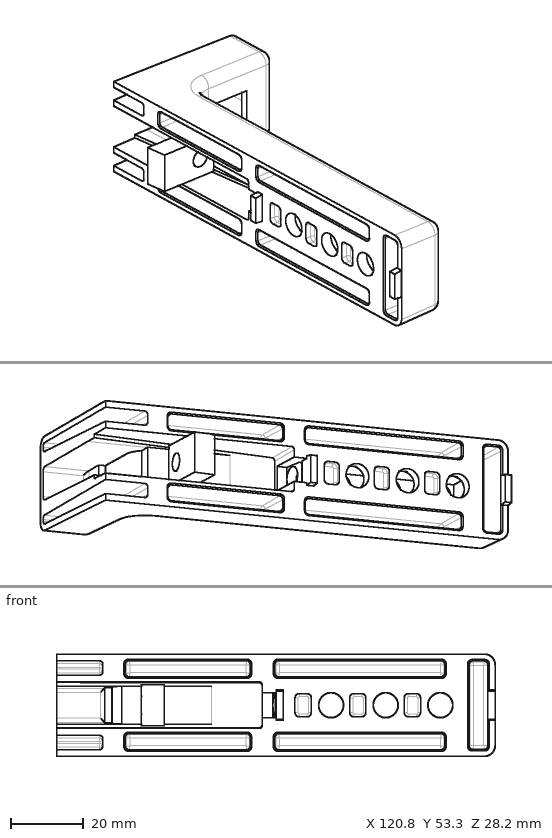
import cadquery as cq
import math


length = 120.84
half_width = 14.1
arm_depth = 15.25
jaw_depth = 45.4
overall_depth = 53.28
jaw_thickness = 15.85
draft = 1.0
floor_thickness = 2.0
outer_radius = 3.0
corner_radius = 6.0

draft_slope = math.tan(math.radians(draft))
past = 5.0

cavity_depth = 13.2
cavity_half_width = 5.25
cavity_radius = 1.2
window_top = 35.3
window_end = 17.9
channel_floor = 12.15

guide_angle = 6.0
guide_start = 7.68
guide_end = 56.6
guide_half_width = 6.4
guide_corner_radius = 0.8
guide_slope = math.tan(math.radians(guide_angle))

seat_end = 60.45
seat_half_width = 3.45
seat_offset = 1.75
screw_offset = 5.0
front_wall = 3.4
inner_cavity_end = 110.0
cavity_floor_x = 65.0

nut_x = 59.9
nut_length = 3.0
nut_front_reach = 5.45
nut_hole_radius = 3.0
nut_corner_radius = 1.4

groove_depth = 12.7
groove_half_width = 2.0
groove_z = 10.25
groove_radius = 1.0

pocket_depth = arm_depth - floor_thickness
pocket_corner_radius = 1.0
pocket_floor_radius = 1.0
pocket_mouth_chamfer = 0.4
chamfer_angle = 45
rail_pocket_z = 10.05
rail_pocket_width = 5.3
rail_pocket_spans = [(18.5, 53.7), (59.7, 107.3)]
end_pocket_span = (113.2, 119.2)
end_pocket_width = 25.2

row_pitch = 15.05
hole_count = 3
first_hole_x = 75.6
hole_radius = 3.4
first_cell_x = 67.9
cell_length = 4.5
cell_width = 6.4
cell_depth = 2.4
cell_corner_radius = 1.2
cell_floor_radius = 0.8

tab_thickness = 2.0
tab_half_width = 4.2
tab_tip_half_width = 3.9
tab_height = 2.5
end_tab_x = end_pocket_span[1] - pocket_mouth_chamfer

slider_x = 23.35
slider_length = 6.3
slider_half_width = 5.7
slider_tip = jaw_depth - overall_depth
slider_hole_radius = 2.5


def guide_y(x):
    """Depth of the inclined guide shoulder at a given X."""
    return guide_start + guide_slope * x


def plate(points, half_thickness):
    """XY outline extruded symmetrically about Z = 0."""
    return cq.Workplane("XY").polyline(points).close().extrude(half_thickness, both=True)


def z_drafted_block(x_start, x_end, z_center, front_half_width, depth, draft_start=0.0):
    """Block along X from the open front, with Z sides that lean inward beyond draft_start."""
    back_half_width = front_half_width - draft_slope * (depth - draft_start)
    half_profile = [(0, front_half_width), (depth, back_half_width)]
    if draft_start > 0:
        half_profile.insert(1, (draft_start, front_half_width))
    mirrored = [(y, -z) for y, z in reversed(half_profile)]
    section = cq.Workplane("YZ", origin=(x_start, 0, z_center)).polyline(half_profile + mirrored)
    return section.close().extrude(x_end - x_start)


def screw_rod(x_start, radius, reach):
    """Cylinder on the inclined screw axis, starting at a given X."""
    start = cq.Vector(x_start, guide_y(x_start) - screw_offset, 0)
    direction = cq.Vector(1, guide_slope, 0)
    return cq.Workplane(obj=cq.Solid.makeCylinder(radius, reach, start, direction))


def housing_blank():
    """L-shaped body with drafted outer walls and rounded outer edges."""
    jaw_back_x = jaw_thickness - draft_slope * jaw_depth
    jaw_root_x = jaw_thickness - draft_slope * arm_depth
    profile = plate(
        [
            (0, 0),
            (length, 0),
            (length - draft_slope * arm_depth, arm_depth),
            (jaw_root_x, arm_depth),
            (jaw_back_x, jaw_depth),
            (0, jaw_depth),
        ],
        half_width,
    )
    inner_corner = cq.selectors.NearestToPointSelector((jaw_root_x, arm_depth, 0))
    profile = profile.edges(inner_corner).fillet(corner_radius)
    blank = profile.intersect(z_drafted_block(0, length, 0, half_width, jaw_depth))
    return blank.edges("not (<X or <Y)").fillet(outer_radius)


def jaw_cavity():
    """Middle recess of the jaw, open at the jaw face and the front, with a rounded back."""
    depth = jaw_depth - floor_thickness
    block = z_drafted_block(-past, cavity_depth, 0, cavity_half_width, depth, channel_floor)
    return block.faces(">Y").edges().fillet(cavity_radius)


def jaw_groove(z_center):
    """Narrow groove beside the cavity, rounded along its inner edges."""
    depth = jaw_depth - floor_thickness
    block = z_drafted_block(-past, groove_depth, z_center, groove_half_width, depth)
    return block.faces(">X or >Y").edges("not <Y").fillet(groove_radius)


def corner_channel():
    """Narrow channel that breaks through the corner between jaw and arm."""
    floor_end = (channel_floor - guide_start) / guide_slope
    outline = plate(
        [
            (0, 0),
            (0, channel_floor),
            (cavity_depth - cavity_radius, channel_floor),
            (cavity_depth - cavity_radius, window_top),
            (window_end, window_top),
            (window_end, channel_floor),
            (floor_end, channel_floor),
            (floor_end, 0),
        ],
        half_width,
    )
    block = z_drafted_block(0, guide_end, 0, cavity_half_width, jaw_depth, channel_floor)
    return outline.intersect(block)


def slider_guide():
    """Wide inclined slot that the slider moves in."""
    block = z_drafted_block(-past, guide_end, 0, guide_half_width, jaw_depth)
    block = block.faces(">X").edges("not |Z").fillet(guide_corner_radius)
    below_shoulder = plate(
        [
            (-past, -past),
            (-past, guide_y(-past)),
            (guide_end, guide_y(guide_end)),
            (guide_end, -past),
        ],
        half_width,
    )
    return block.intersect(below_shoulder)


def screw_seat():
    """Open seat behind the guide, running on as a closed cavity behind the front wall."""
    floor_start = guide_y(guide_end) - seat_offset
    floor_end = guide_y(cavity_floor_x) - seat_offset
    inside = guide_end - guide_corner_radius
    return plate(
        [
            (inside, 0),
            (inside, floor_start),
            (guide_end, floor_start),
            (cavity_floor_x, floor_end),
            (inner_cavity_end, floor_end),
            (inner_cavity_end, front_wall),
            (seat_end, front_wall),
            (seat_end, 0),
        ],
        seat_half_width,
    )


def front_pocket(x_center, z_center, size_x, size_z):
    """Drafted blind pocket with rounded corners and floor and a chamfered mouth."""
    throat_x = size_x - 2 * pocket_mouth_chamfer
    throat_z = size_z - 2 * pocket_mouth_chamfer
    front_plane = cq.Plane(origin=(x_center, 0, z_center), xDir=(1, 0, 0), normal=(0, 1, 0))
    throat = cq.Sketch().rect(throat_x, throat_z).vertices().fillet(pocket_corner_radius)
    pocket = cq.Workplane(front_plane).placeSketch(throat).extrude(pocket_depth, taper=draft)
    pocket = pocket.faces(">Y").edges().fillet(pocket_floor_radius)
    mouth = cq.Sketch().rect(size_x, size_z).vertices().fillet(pocket_corner_radius + pocket_mouth_chamfer)
    mouth_cut = cq.Workplane(front_plane).placeSketch(mouth).extrude(pocket_mouth_chamfer, taper=chamfer_angle)
    return pocket.union(mouth_cut)


def small_cell(x_center):
    """Shallow blind cell between the holes, with rounded corners and floor."""
    outline = cq.Sketch().rect(cell_length, cell_width).vertices().fillet(cell_corner_radius)
    cell = cq.Workplane("XZ", origin=(x_center, 0, 0)).placeSketch(outline).extrude(-cell_depth)
    return cell.faces(">Y").edges().fillet(cell_floor_radius)


def tab(x_start):
    """Stop tab standing on the front face, rooted behind the chamfered pocket mouth."""
    half_profile = [
        (-tab_height, tab_tip_half_width),
        (0, tab_half_width),
        (pocket_mouth_chamfer, tab_half_width),
    ]
    mirrored = [(y, -z) for y, z in reversed(half_profile)]
    section = cq.Workplane("YZ", origin=(x_start, 0, 0)).polyline(half_profile + mirrored)
    return section.close().extrude(tab_thickness)


def make_housing():
    """L-shaped housing with its recesses, holes and stop tabs."""
    body = housing_blank()
    body = body.cut(jaw_cavity())
    for side in (-1, 1):
        body = body.cut(jaw_groove(side * groove_z))
        for x_start, x_end in rail_pocket_spans:
            x_center = (x_start + x_end) / 2
            z_center = side * rail_pocket_z
            body = body.cut(front_pocket(x_center, z_center, x_end - x_start, rail_pocket_width))
    end_x = sum(end_pocket_span) / 2
    end_size = end_pocket_span[1] - end_pocket_span[0]
    body = body.cut(front_pocket(end_x, 0, end_size, end_pocket_width))
    body = body.cut(corner_channel()).cut(slider_guide()).cut(screw_seat())
    for index in range(hole_count):
        step = index * row_pitch
        body = body.cut(small_cell(first_cell_x + step))
        hole = cq.Workplane("XZ", origin=(first_hole_x + step, 0, 0)).circle(hole_radius)
        body = body.cut(hole.extrude(-arm_depth))
    return body.union(tab(seat_end)).union(tab(end_tab_x))


def make_slider():
    """Block that rides on the inclined guide, bored on the screw axis."""
    slider_end = slider_x + slider_length
    tip_rise = guide_slope * slider_length
    block = plate(
        [
            (slider_x, slider_tip),
            (slider_end, slider_tip + tip_rise),
            (slider_end, guide_y(slider_end)),
            (slider_x, guide_y(slider_x)),
        ],
        slider_half_width,
    )
    return block.cut(screw_rod(slider_x - slider_length, slider_hole_radius, 3 * slider_length))


def nut_frame():
    """Frame on the screw axis at the nut's outer face, with local x along the axis."""
    origin = (nut_x, guide_y(nut_x) - screw_offset, 0)
    return cq.Plane(origin=origin, xDir=(1, guide_slope, 0), normal=(0, 0, 1))


def make_nut():
    """Nut that fills the cavity's width and sits against its inclined floor."""
    back_reach = (screw_offset - seat_offset) * math.cos(math.radians(guide_angle))
    nut = (
        cq.Workplane(nut_frame())
        .moveTo(0, -nut_front_reach)
        .lineTo(nut_length, -nut_front_reach)
        .lineTo(nut_length, back_reach)
        .lineTo(0, back_reach)
        .close()
        .extrude(seat_half_width, both=True)
    )
    nut = nut.faces("<Y").edges("not |Z").edges("<Z or >Z").fillet(nut_corner_radius)
    return nut.cut(screw_rod(nut_x - nut_length, nut_hole_radius, 3 * nut_length))


housing = make_housing()
slider = make_slider()
nut = make_nut()
bodies = [body.solids().val() for body in (housing, slider, nut)]
result = cq.Compound.makeCompound(bodies)